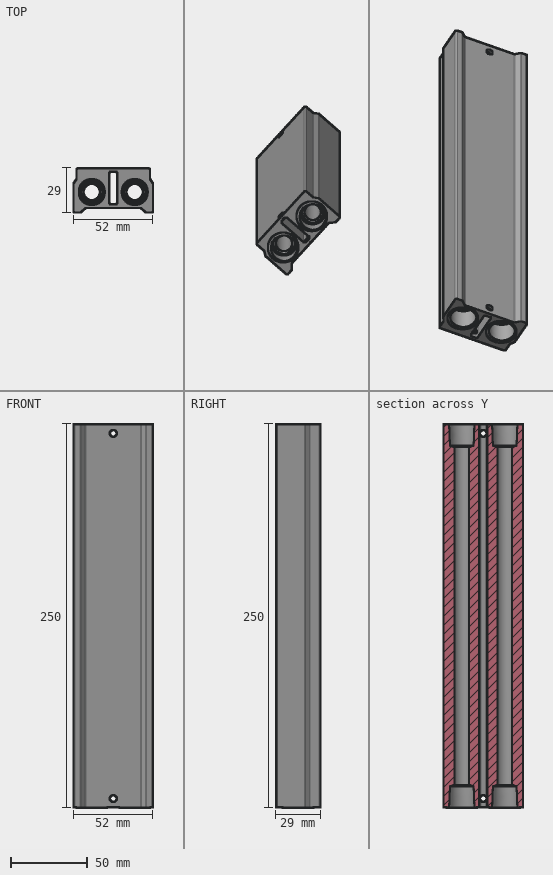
import cadquery as cq

width = 52.0
depth = 29.0
length = 250.0
back = depth / 2
front = -depth / 2
half_width = width / 2

back_half_width = 24.0
shoulder_start = 7.0
shoulder_end = 10.0
channel_depth = 3.0
channel_mouth_half_width = 21.3
channel_floor_half_width = 18.0
outline_fillet = 1.0

collar_diameter = 20.0
collar_y = -0.2
collar_height = 0.2

bore_spacing = 28.0
bore_y = -1.0
bore_diameter = 10.6
port_diameter = 17.0
port_floor_diameter = 16.0
port_depth = 14.0
ledge_inner_diameter = 13.8
cone_depth = 0.8
bore_centres = [(-bore_spacing / 2, bore_y), (bore_spacing / 2, bore_y)]

slot_width = 5.0
slot_depth = 21.0
slot_y = 1.6
slot_fillet = 1.0

cross_hole_diameter = 4.3
cross_hole_inset = 6.0


def make_body():
    """Filleted outline extruded along Z, leaving room for the bottom collars."""
    right_side = [
        (channel_floor_half_width, front + channel_depth),
        (channel_mouth_half_width, front),
        (half_width, front),
        (half_width, back - shoulder_end),
        (back_half_width, back - shoulder_start),
        (back_half_width, back),
    ]
    left_side = [(-x, y) for x, y in reversed(right_side)]
    return (
        cq.Workplane("XY", origin=(0, 0, collar_height))
        .polyline(right_side + left_side)
        .close()
        .extrude(length - collar_height)
        .edges("|Z")
        .fillet(outline_fillet)
    )


def make_collars():
    return (
        cq.Workplane("XY")
        .pushPoints([(-bore_spacing / 2, collar_y), (bore_spacing / 2, collar_y)])
        .circle(collar_diameter / 2)
        .extrude(2 * collar_height)
    )


def make_bore(x, y):
    """Bore with a tapered port, a ledge and a cone at each end, as one revolved solid."""
    bore_radius = bore_diameter / 2
    port_radius = port_diameter / 2
    port_floor_radius = port_floor_diameter / 2
    ledge_inner_radius = ledge_inner_diameter / 2
    cone_end = port_depth + cone_depth
    half_section = [
        (0, 0),
        (port_radius, 0),
        (port_floor_radius, port_depth),
        (ledge_inner_radius, port_depth),
        (bore_radius, cone_end),
        (bore_radius, length - cone_end),
        (ledge_inner_radius, length - port_depth),
        (port_floor_radius, length - port_depth),
        (port_radius, length),
        (0, length),
    ]
    return (
        cq.Workplane("XZ")
        .polyline(half_section)
        .close()
        .revolve(360, (0, 0, 0), (0, 1, 0))
        .translate((x, y, 0))
    )


def make_slot():
    return (
        cq.Workplane("XY")
        .center(0, slot_y)
        .rect(slot_width, slot_depth)
        .extrude(length)
        .edges("|Z")
        .fillet(slot_fillet)
    )


def make_cross_holes():
    return (
        cq.Workplane("XZ", origin=(0, back, 0))
        .pushPoints([(0, cross_hole_inset), (0, length - cross_hole_inset)])
        .circle(cross_hole_diameter / 2)
        .extrude(depth)
    )


result = make_body().union(make_collars())
for centre_x, centre_y in bore_centres:
    result = result.cut(make_bore(centre_x, centre_y))
result = result.cut(make_slot()).cut(make_cross_holes())